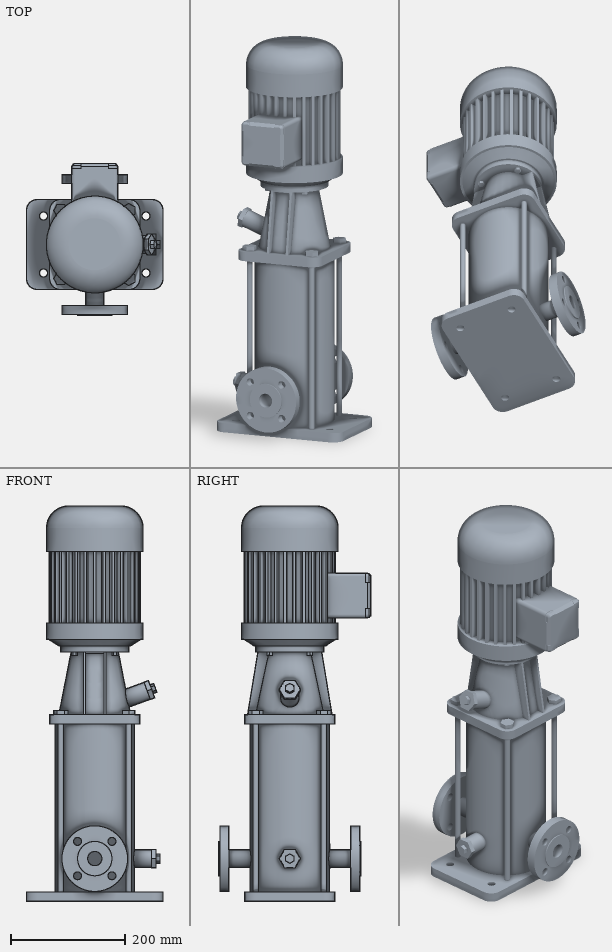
import cadquery as cq
import math


base_top = 16.5
head_bottom = 310.5
head_top = 327.0
lantern_top = 436.5
spigot_top = 448.0
collar_bottom = 459.0
collar_top = 488.0
cowl_bottom = 612.5
overall_height = 693.0

base_length = 240.0
plate_width = 158.0
plate_corner_radius = 19.5
anchor_hole_diameter = 14.0
anchor_pitch_x = 179.5
anchor_pitch_y = 100.0

casing_diameter = 140.0
rod_diameter = 10.0
rod_offset = 59.5
rod_nut_corners = 25.0
rod_nut_height = 7.5

port_height = 75.0
port_face = 125.0
raised_face_diameter = 60.0
raised_face_thickness = 2.0
flange_diameter = 115.0
flange_thickness = 16.0
flange_bolt_pitch = 60.0
flange_bolt_diameter = 14.0
pipe_diameter = 32.0
port_bore_diameter = 25.0

lantern_bottom_radius = 63.0
lantern_top_radius = 41.5
rib_thickness = 4.0
rib_offset = 18.0
rib_bottom_reach = 74.0
rib_top_reach = 56.0
bridge_thickness = 2.0
motor_bolt_offset = 35.0
motor_bolt_corners = 11.0
motor_bolt_height = 5.5

motor_diameter = 170.0
spigot_diameter = 120.0
taper_top_radius = 80.5
taper_bottom_radius = 63.0
cowl_edge_radius = 39.5
fin_core_diameter = 140.0
fin_tip_radius = 80.5
fin_thickness = 5.0
fin_count = 30
fin_root_overlap = 3.5

box_width = 81.0
box_height = 79.0
box_center_z = 536.0
box_face = 142.0
box_root = 53.5
box_edge_radius = 6.0
box_face_chamfer = 5.5
lug_size = 16.5
lug_thickness = 9.0
lug_chamfer = 3.5
lug_inset = 1.0

plug_hex_flats = 32.5
plug_hex_length = 8.0
plug_tip_corners = 16.5
plug_tip_length = 7.0
drain_length = 99.0
vent_length = 98.0
vent_origin_z = 335.5
vent_tilt = 20.0


def rod(diameter, bottom, top, points=((0, 0),)):
    """Vertical round bars between two heights."""
    bars = cq.Workplane("XY").workplane(offset=bottom).pushPoints(points)
    return bars.circle(diameter / 2).extrude(top - bottom)


def corner_points(x, y):
    """Four points mirrored about both axes."""
    return [(sx * x, sy * y) for sx in (-1, 1) for sy in (-1, 1)]


def plate(length, bottom, top):
    """Horizontal plate with rounded vertical corners."""
    blank = cq.Workplane("XY").workplane(offset=bottom).rect(length, plate_width).extrude(top - bottom)
    return blank.edges("|Z").fillet(plate_corner_radius)


def hex_head(x, y, bottom, height, corners, turn=0.0):
    """Upright hexagon with corners on the X direction before turning about its own axis."""
    head = cq.Workplane("XY").polygon(6, corners).extrude(height)
    return head.rotate((0, 0, 0), (0, 0, 1), turn).translate((x, y, bottom))


def make_base():
    base = plate(base_length, 0, base_top)
    places = corner_points(anchor_pitch_x / 2, anchor_pitch_y / 2)
    return base.cut(rod(anchor_hole_diameter, 0, base_top, places))


def make_tie_rods():
    places = corner_points(rod_offset, rod_offset)
    rods = rod(rod_diameter, base_top, head_bottom, places)
    for x, y in places:
        turn = 90 if x > 0 else 0
        rods = rods.union(hex_head(x, y, head_top, rod_nut_height, rod_nut_corners, turn))
    return rods


def make_port():
    """Flanged pipe on the -Y side, starting at the pump axis."""
    def disc(diameter, near, far):
        face = cq.Workplane("XZ").workplane(offset=near).center(0, port_height)
        return face.circle(diameter / 2).extrude(far - near)

    flange_front = port_face - raised_face_thickness
    flange_back = flange_front - flange_thickness
    bolt_holes = (
        cq.Workplane("XZ").workplane(offset=flange_back).center(0, port_height)
        .pushPoints(corner_points(flange_bolt_pitch / 2, flange_bolt_pitch / 2))
        .circle(flange_bolt_diameter / 2).extrude(port_face - flange_back)
    )
    return (
        disc(pipe_diameter, 0, flange_back)
        .union(disc(flange_diameter, flange_back, flange_front))
        .union(disc(raised_face_diameter, flange_front, port_face))
        .cut(bolt_holes)
        .cut(disc(port_bore_diameter, casing_diameter / 2, port_face))
    )


def make_lantern():
    cone = (
        cq.Workplane("XZ")
        .polyline([(0, head_top), (lantern_bottom_radius, head_top),
                   (lantern_top_radius, lantern_top), (0, lantern_top)])
        .close().revolve(360, (0, 0), (0, 1))
    )
    rib = (
        cq.Workplane("YZ")
        .polyline([(-rib_bottom_reach, head_top), (rib_bottom_reach, head_top),
                   (rib_top_reach, lantern_top), (-rib_top_reach, lantern_top)])
        .close().extrude(rib_thickness / 2, both=True)
    )
    bridge = (
        cq.Workplane("XY").workplane(offset=lantern_top - bridge_thickness)
        .rect(2 * rib_offset, 2 * rib_top_reach).extrude(bridge_thickness)
    )
    lantern = cone.union(bridge)
    for side in (-1, 1):
        lantern = lantern.union(rib.translate((side * rib_offset, 0, 0)))
    for x, y in corner_points(motor_bolt_offset, motor_bolt_offset):
        bolt_bottom = lantern_top - motor_bolt_height
        lantern = lantern.union(hex_head(x, y, bolt_bottom, motor_bolt_height, motor_bolt_corners))
    return lantern


def make_motor():
    motor_radius = motor_diameter / 2
    spigot = rod(spigot_diameter, lantern_top, spigot_top)
    end_bell = (
        cq.Workplane("XZ")
        .polyline([(0, spigot_top), (taper_bottom_radius, spigot_top), (taper_top_radius, collar_bottom),
                   (motor_radius, collar_bottom), (motor_radius, collar_top), (0, collar_top)])
        .close().revolve(360, (0, 0), (0, 1))
    )
    core = rod(fin_core_diameter, collar_top, cowl_bottom)
    cowl = rod(motor_diameter, cowl_bottom, overall_height).faces(">Z").edges().fillet(cowl_edge_radius)
    return spigot.union(end_bell).union(core).union(cowl).union(make_fins())


def make_fins():
    """Radial cooling fins, one of them pointing along -Y."""
    root = fin_core_diameter / 2 - fin_root_overlap
    fin_depth = fin_tip_radius - root
    return (
        cq.Workplane("XY").workplane(offset=collar_top)
        .polarArray(root + fin_depth / 2, -90, 360, fin_count)
        .rect(fin_depth, fin_thickness).extrude(cowl_bottom - collar_top)
    )


def make_terminal_box():
    box_length = box_face - box_root

    def shell(inset, chamfer):
        blank = cq.Workplane("XY").box(box_width - 2 * inset, box_length, box_height - 2 * inset)
        blank = blank.translate((0, box_root + box_length / 2, box_center_z))
        return blank.edges("|Y").fillet(box_edge_radius).faces(">Y").edges().chamfer(chamfer)

    lug_blocks = (
        cq.Workplane("XZ").workplane(offset=-box_face).center(0, box_center_z)
        .pushPoints(corner_points((box_width - lug_size) / 2, (box_height - lug_size) / 2))
        .rect(lug_size, lug_size).extrude(lug_thickness)
    )
    lugs = shell(lug_inset, lug_chamfer).intersect(lug_blocks)
    return shell(0, box_face_chamfer).cut(lug_blocks).union(lugs)


def make_plug(pipe_length):
    """Capped pipe stub along +X from the origin, with a hexagon cap and a small hexagon tip."""
    stub = cq.Workplane("YZ").circle(pipe_diameter / 2).extrude(pipe_length)
    cap_corners = plug_hex_flats / math.cos(math.radians(30))
    cap = cq.Workplane("YZ").workplane(offset=pipe_length).polygon(6, cap_corners).extrude(plug_hex_length)
    tip = cq.Workplane("YZ").polygon(6, plug_tip_corners).extrude(plug_tip_length)
    tip = tip.rotate((0, 0, 0), (1, 0, 0), 90).translate((pipe_length + plug_hex_length, 0, 0))
    return stub.union(cap).union(tip)


front_port = make_port()
rear_port = front_port.mirror("XZ")
drain_plug = make_plug(drain_length).translate((0, 0, port_height))
vent_plug = (
    make_plug(vent_length)
    .rotate((0, 0, 0), (0, 1, 0), -vent_tilt)
    .translate((0, 0, vent_origin_z))
)

result = (
    make_base()
    .union(rod(casing_diameter, base_top, head_bottom))
    .union(plate(plate_width, head_bottom, head_top))
    .union(make_tie_rods())
    .union(front_port)
    .union(rear_port)
    .union(drain_plug)
    .union(make_lantern())
    .union(vent_plug)
    .union(make_motor())
    .union(make_terminal_box())
)